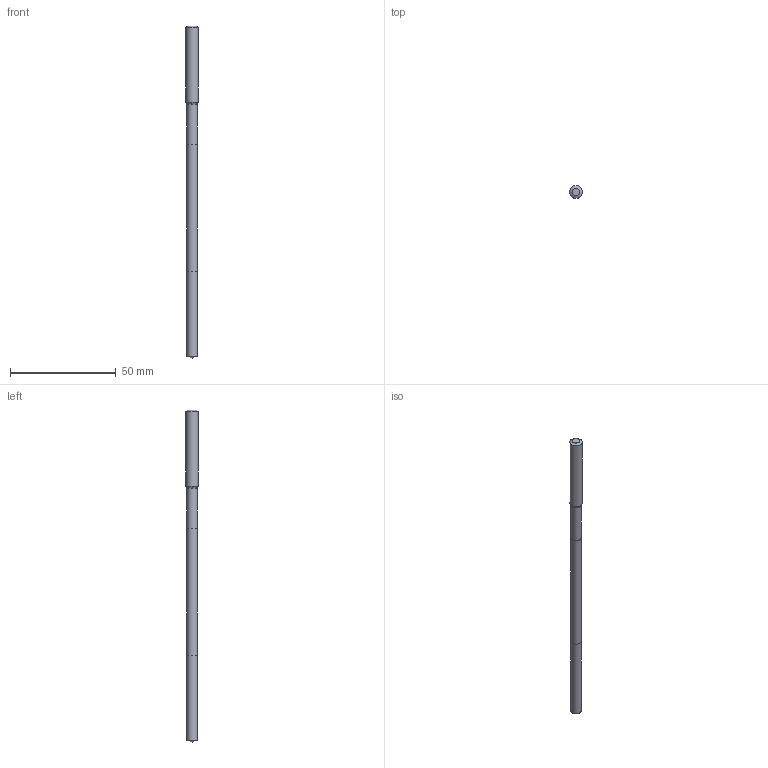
import cadquery as cq
import math

overall_length = 157.0
shank_length = 36.0
shank_diameter = 6.0
neck_length = 20.0
body_diameter = 4.95
head_length = 41.0
head_tip_diameter = 4.96
point_angle = 145.0
shank_end_flat_diameter = 3.6
shank_end_cone_slope = 30.0
shoulder_cone_angle = 30.0
shoulder_fillet_radius = 0.8

shank_radius = shank_diameter / 2
body_radius = body_diameter / 2
head_tip_radius = head_tip_diameter / 2
flat_radius = shank_end_flat_diameter / 2

point_height = head_tip_radius / math.tan(math.radians(point_angle / 2))
shank_bottom = overall_length - shank_length
body_joint = shank_bottom - neck_length
end_cone_height = (shank_radius - flat_radius) * math.tan(math.radians(shank_end_cone_slope))

cone_angle = math.radians(shoulder_cone_angle)
fillet_center_radius = body_radius + shoulder_fillet_radius
cone_start_radius = fillet_center_radius - shoulder_fillet_radius * math.cos(cone_angle)
cone_start = shank_bottom - (shank_radius - cone_start_radius) / math.tan(cone_angle)
fillet_bottom = cone_start - shoulder_fillet_radius * math.sin(cone_angle)


def shoulder_fillet_point(angle):
    """Point (radius, height) on the shoulder fillet, angle measured up from its tangency with the neck."""
    return (
        fillet_center_radius - shoulder_fillet_radius * math.cos(angle),
        fillet_bottom + shoulder_fillet_radius * math.sin(angle),
    )


def turn(profile):
    """Close a (radius, height) outline and turn it about the Z axis."""
    return profile.close().revolve(360, (0, 0), (0, 1))


def make_cutting_part():
    """Conical point, tapered head and plain upper part, up to the joint with the neck."""
    profile = (
        cq.Workplane("XZ")
        .moveTo(0, 0)
        .lineTo(head_tip_radius, point_height)
        .lineTo(body_radius, head_length)
        .lineTo(body_radius, body_joint)
        .lineTo(0, body_joint)
    )
    return turn(profile)


def make_shank():
    """Neck, filleted shoulder and clamping shank with a coned, flat-topped end."""
    profile = (
        cq.Workplane("XZ")
        .moveTo(0, body_joint)
        .lineTo(body_radius, body_joint)
        .lineTo(body_radius, fillet_bottom)
        .threePointArc(shoulder_fillet_point(cone_angle / 2), (cone_start_radius, cone_start))
        .lineTo(shank_radius, shank_bottom)
        .lineTo(shank_radius, overall_length - end_cone_height)
        .lineTo(flat_radius, overall_length)
        .lineTo(0, overall_length)
    )
    return turn(profile)


cutting_part = make_cutting_part()
shank = make_shank()

result = cq.Compound.makeCompound([cutting_part.val(), shank.val()])